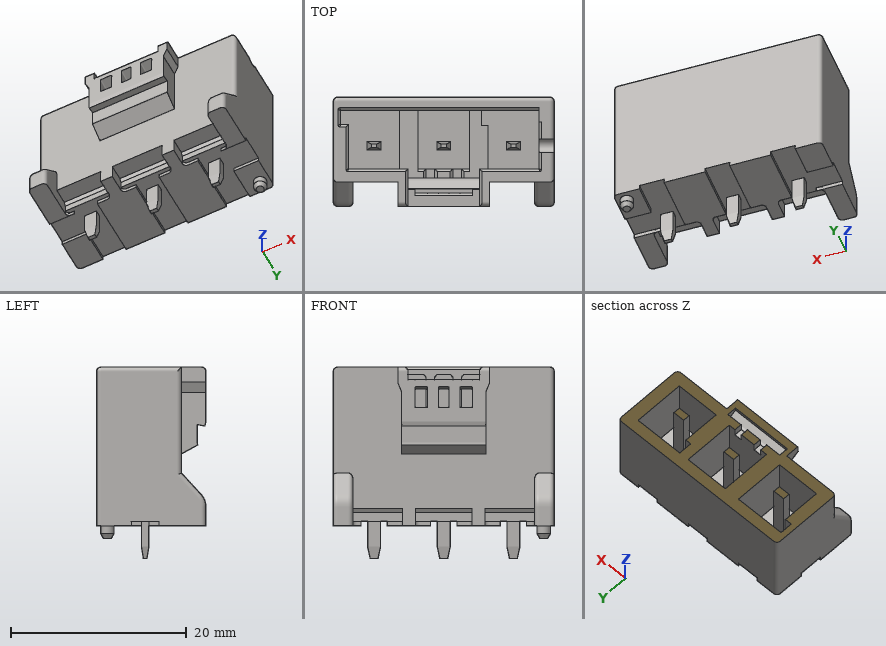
import cadquery as cq


length = 25.15
depth = 9.68
height = 18.08
half_length = length / 2
edge_round = 0.53
rim_chamfer = 0.3

wall = 1.5
cavity_half = 10.84
cavity_back = depth - wall
floor_z = 3.02
key_x = 11.75
key_y = 6.55
plain_rim_y = 6.85
groove_radius = 0.78

pitch = 7.92
pin_y = 4.15
pin_positions = [-pitch, 0, pitch]
tail_size = (1.48, 0.85)
tail_tip_size = (0.9, 0.43)
tail_length = 3.72
blade_size = (1.58, 0.93)
blade_tip_size = (0.6, 0.35)
blade_top = 12.57
pin_taper = 1.33

partition_top = 17.25
divider_inner = 2.92
divider_outer = 5.05
divider_step_x = 4.3
divider_step_y = 6.44
post_front = 0.48
post_inner = 2.0
center_post_half = 1.03

foot_width = 2.26
foot_reach = 2.77
foot_shoulder_z = 6.0
foot_knee_z = 3.0
foot_knee_radius = 2.0

latch_reach = foot_reach
latch_half = 4.78
latch_head_half = 5.23
latch_neck_z = 15.18
latch_head_z = 16.35
lip_front_z = 11.87
lip_bottom_z = 11.35
lip_root_z = 11.51
lip_draft = 0.13
skirt_reach = 1.78
skirt_bead = 0.05
bead_z = 9.48
skirt_bottom_z = 9.2
latch_bottom_z = 8.2

chamber_half = 4.07
chamber_floor = 9.18
ramp_start = (0.18, 9.28)
ramp_end = (-0.7, 9.8)
chamber_front = -0.83
notch_z = 16.65
slot_half = 3.27
slot_front = -1.23

window_bottom = 13.48
window_top = 15.85
window_top_inner = 15.55
window_spans = [(-3.27, -1.84), (-0.6, 0.6), (1.84, 3.27)]
window_round = 0.15

relief = 0.53
pin_slot_width = 2.97
side_slot_width = 3.12
recess_top = 1.95
recess_top_inner = 1.5
recess_depth = 2.1
recess_slope = 0.25
pad_setback = 0.45
recess_round = 0.5
rib_inner = 3.2
rib_outer = 4.68

peg_x = 11.36
peg_y = 8.45
peg_diameter = 1.55
peg_tip_diameter = 0.9
peg_length = 1.43
peg_taper = 0.55

eps = 0.25


def block(x0, x1, y0, y1, z0, z1):
    """Box between two opposite corners."""
    return cq.Workplane("XY").box(x1 - x0, y1 - y0, z1 - z0, centered=False).translate((x0, y0, z0))


def side_prism(points, x0, x1):
    """Extrude a (y, z) outline from x0 to x1."""
    return cq.Workplane("YZ").polyline(points).close().extrude(x1 - x0).translate((x0, 0, 0))


def frustum(size, tip_size, x, y, z, rise):
    """Rectangular taper from size at height z to tip_size at z + rise."""
    return (
        cq.Workplane("XY", origin=(x, y, z))
        .rect(*size)
        .workplane(offset=rise)
        .rect(*tip_size)
        .loft(combine=True)
    )


def make_foot(x0):
    outline = [
        (eps, 0),
        (-foot_reach, 0),
        (-foot_reach, foot_knee_z),
        (0, foot_shoulder_z),
        (eps, foot_shoulder_z),
    ]
    foot = side_prism(outline, x0, x0 + foot_width)
    knee = cq.selectors.BoxSelector(
        (x0 - eps, -foot_reach - eps, foot_knee_z - eps),
        (x0 + foot_width + eps, -foot_reach + eps, foot_knee_z + eps),
    )
    return foot.edges("|X").edges(knee).fillet(foot_knee_radius)


def make_shell():
    """Housing block with feet, rounded on its outer edges."""
    shell = block(-half_length, half_length, 0, depth, 0, height)
    for x0 in (-half_length, half_length - foot_width):
        shell = shell.union(make_foot(x0))
    shell = shell.clean()

    def is_rounded(edge):
        mid = edge.positionAt(0.5)
        start, end = edge.startPoint(), edge.endPoint()
        runs_along_x = abs(start.x - end.x) > eps
        on_side = abs(abs(mid.x) - half_length) < eps
        on_foot_inside = abs(abs(mid.x) - (half_length - foot_width)) < eps
        if runs_along_x:
            return mid.y > depth - eps and mid.z > height - eps
        if mid.z < eps:
            return False
        return on_side or (on_foot_inside and mid.y < -eps)

    edges = [edge for edge in shell.edges().vals() if is_rounded(edge)]
    return shell.newObject(edges).fillet(edge_round)


def make_latch():
    profile = [
        (eps, height),
        (-latch_reach, height),
        (-latch_reach, lip_front_z),
        (-latch_reach + lip_draft, lip_bottom_z),
        (-skirt_reach, lip_root_z),
        (-skirt_reach, bead_z),
        (-skirt_reach - skirt_bead, skirt_bottom_z),
        (0, latch_bottom_z),
        (eps, latch_bottom_z),
    ]
    latch = side_prism(profile, -latch_head_half, latch_head_half)
    latch = latch.edges("|X and >Z and <Y").fillet(edge_round)
    face = [
        (latch_half, 0),
        (latch_half, latch_neck_z),
        (latch_head_half, latch_head_z),
        (latch_head_half, height),
    ]
    mirrored_face = [(-x, z) for x, z in reversed(face)]
    outline = (
        cq.Workplane("XZ", origin=(0, -latch_reach, 0))
        .polyline(face + mirrored_face)
        .close()
        .extrude(-(latch_reach + eps))
    )
    return latch.intersect(outline)


def make_cavity():
    main = block(-cavity_half, cavity_half, wall, cavity_back, floor_z, height + eps)
    key = block(-key_x, 0, key_y, cavity_back, floor_z, height + eps)
    return main.union(key)


def make_chamber():
    """Space behind the latch face, with the notch above it and the slot in front of it."""
    profile = [
        (wall + eps, chamber_floor),
        (post_front, chamber_floor),
        ramp_start,
        ramp_end,
        (chamber_front, notch_z),
        (-latch_reach - eps, notch_z),
        (-latch_reach - eps, height + eps),
        (wall + eps, height + eps),
    ]
    chamber = side_prism(profile, -chamber_half, chamber_half)
    slot_profile = [
        (0, window_bottom),
        (slot_front, window_bottom),
        (slot_front, notch_z - rim_chamfer),
        (slot_front - rim_chamfer, notch_z),
        (0, notch_z),
    ]
    return chamber.union(side_prism(slot_profile, -slot_half, slot_half))


def make_rim_chamfer():
    """Chamfer around the mouth of the cavity and along the sides of the latch notch."""
    mouth = [
        (-key_x, cavity_back),
        (-key_x, key_y),
        (-cavity_half, key_y),
        (-cavity_half, wall),
        (-chamber_half, wall),
        (-chamber_half, -latch_reach - eps),
        (chamber_half, -latch_reach - eps),
        (chamber_half, wall),
        (cavity_half, wall),
        (cavity_half, cavity_back),
    ]
    chamfer = (
        cq.Workplane("XY", origin=(0, 0, height - rim_chamfer))
        .polyline(mouth)
        .close()
        .extrude(rim_chamfer, taper=-45)
    )
    plain_rim = block(cavity_half, half_length, plain_rim_y, depth, 0, height + eps)
    return chamfer.cut(plain_rim)


def make_window(x0, x1):
    profile = [
        (-latch_reach, window_bottom),
        (-latch_reach, window_top),
        (slot_front, window_top_inner),
        (slot_front, window_bottom),
    ]
    return side_prism(profile, x0, x1).edges("not(|X or |Z)").fillet(window_round)


def make_posts():
    center = block(-center_post_half, center_post_half, post_front, wall, chamber_floor - eps, partition_top)
    posts = center.faces(">Z").edges("not <Y").chamfer(rim_chamfer)
    right = block(post_inner, chamber_half, post_front, wall, chamber_floor - eps, partition_top)
    right = right.faces(">Z").edges("<X or >Y").chamfer(rim_chamfer)
    return posts.union(right).union(right.mirror("YZ"))


def make_dividers():
    bottom = floor_z - eps
    front = wall - rim_chamfer
    back = cavity_back + eps
    left = block(-divider_outer, -divider_inner, wall, back, bottom, partition_top)
    right = block(divider_inner, divider_step_x, wall, back, bottom, partition_top)
    step = block(divider_inner, divider_outer, wall, divider_step_y, bottom, partition_top)
    dividers = left.union(right).union(step)
    for x0, x1 in ((-chamber_half, -divider_inner), (divider_inner, chamber_half)):
        dividers = dividers.union(block(x0, x1, front, wall + eps, chamber_floor, partition_top))
    return dividers


def make_pin(x):
    blade_shoulder = blade_top - pin_taper
    tail_shoulder = pin_taper - tail_length
    blade = cq.Workplane("XY", origin=(x, pin_y, floor_z - eps)).rect(*blade_size)
    blade = blade.extrude(blade_shoulder - floor_z + eps)
    tail = cq.Workplane("XY", origin=(x, pin_y, tail_shoulder)).rect(*tail_size)
    tail = tail.extrude(floor_z - tail_shoulder)
    blade_tip = frustum(blade_size, blade_tip_size, x, pin_y, blade_shoulder, pin_taper)
    tail_tip = frustum(tail_size, tail_tip_size, x, pin_y, tail_shoulder, -pin_taper)
    return blade.union(blade_tip).union(tail).union(tail_tip)


def make_front_recess(x0, x1):
    """Recess under the front wall; its low part runs deeper and has rounded rear corners."""
    profile = [
        (-foot_reach, -eps),
        (-foot_reach, recess_top),
        (recess_depth - recess_slope, recess_top),
        (recess_depth, recess_top_inner),
        (recess_depth, -eps),
    ]
    recess = side_prism(profile, x0, x1)
    low = block(x0, x1, 0, recess_depth + pad_setback, -eps, relief)
    low = low.edges("|Z and >Y").fillet(recess_round)
    return recess.union(low)


def make_underside():
    half_slot = pin_slot_width / 2
    foot_inside = half_length - foot_width
    cuts = make_front_recess(-rib_inner, rib_inner)
    for x0, x1 in ((-foot_inside, -rib_outer), (rib_outer, foot_inside)):
        cuts = cuts.union(make_front_recess(x0, x1))
    for x in pin_positions:
        cuts = cuts.union(block(x - half_slot, x + half_slot, -eps, depth + eps, -eps, relief))
    slot_y0 = pin_y - side_slot_width / 2
    slot_y1 = pin_y + side_slot_width / 2
    side_slot = block(pitch, half_length + eps, slot_y0, slot_y1, -eps, relief)
    return cuts.union(side_slot).union(side_slot.mirror("YZ"))


def make_peg():
    peg = cq.Workplane("XY", origin=(peg_x, peg_y, eps)).circle(peg_diameter / 2).extrude(-(peg_length + eps))
    return peg.faces("<Z").chamfer(peg_taper, (peg_diameter - peg_tip_diameter) / 2)


def make_rim_groove():
    """Half-round groove across the top of the right wall."""
    start = cavity_half - rim_chamfer
    groove = cq.Workplane("YZ", origin=(start, pin_y, height)).circle(groove_radius)
    return groove.extrude(half_length - start + eps)


result = make_shell().union(make_latch())
for cutter in (make_cavity(), make_chamber(), make_rim_chamfer(), make_rim_groove(), make_underside()):
    result = result.cut(cutter)
for left_x, right_x in window_spans:
    result = result.cut(make_window(left_x, right_x))
result = result.union(make_posts()).union(make_dividers()).union(make_peg())
for pin_x in pin_positions:
    result = result.union(make_pin(pin_x))